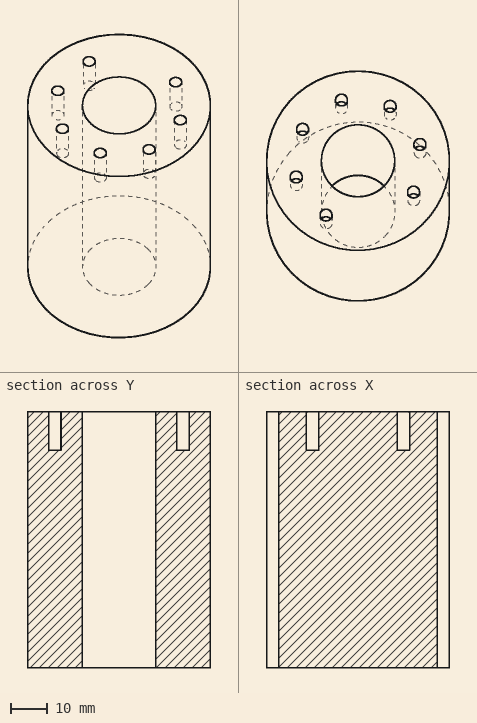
import cadquery as cq

height = 70.0
outer_diameter = 50.0
bore_diameter = 20.0

hole_diameter = 3.3
hole_depth = 10.5
hole_circle_radius = 17.5
hole_places = 8
empty_place_angle = 90.0
place_step = 360.0 / hole_places


def make_sleeve():
    return (
        cq.Workplane("XY")
        .circle(outer_diameter / 2)
        .circle(bore_diameter / 2)
        .extrude(height)
    )


def make_top_holes():
    return (
        cq.Workplane("XY")
        .workplane(offset=height - hole_depth)
        .polarArray(
            hole_circle_radius,
            empty_place_angle + place_step,
            360.0 - 2 * place_step,
            hole_places - 1,
        )
        .circle(hole_diameter / 2)
        .extrude(hole_depth)
    )


result = make_sleeve().cut(make_top_holes())